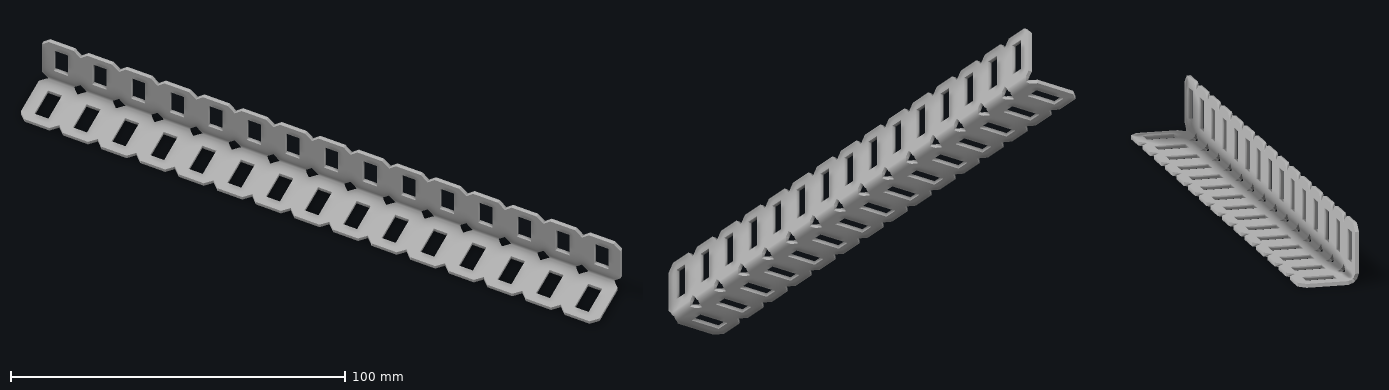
import cadquery as cq

cell_count = 15
cell_pitch = 12.7
length = cell_count * cell_pitch
leg_length = 18.49
thickness = 1.19
inner_radius = 0.8
outer_radius = inner_radius + thickness

slot_width = 4.62
slot_length = 9.75
slot_center = 10.45

edge_notch_depth = 2.25

relief_tip = 3.3
relief_tangent_half_width = relief_tip - outer_radius
relief_middle_half_width = 2.25
relief_clearance = inner_radius / 2

cell_centers = [(i - (cell_count - 1) / 2) * cell_pitch for i in range(cell_count)]
cell_borders = [(i - cell_count / 2) * cell_pitch for i in range(cell_count + 1)]


def angle_blank():
    """Plain bent angle, centred along X."""
    profile = (
        cq.Workplane("YZ", origin=(-length / 2, 0, 0))
        .moveTo(0, leg_length)
        .lineTo(0, outer_radius)
        .radiusArc((-outer_radius, 0), outer_radius)
        .lineTo(-leg_length, 0)
        .lineTo(-leg_length, thickness)
        .lineTo(-outer_radius, thickness)
        .radiusArc((-thickness, outer_radius), -inner_radius)
        .lineTo(-thickness, leg_length)
        .close()
    )
    return profile.extrude(length)


def slots():
    """Rectangular slots of the upright leg, one per cell."""
    return (
        cq.Workplane("XZ")
        .pushPoints([(x, slot_center) for x in cell_centers])
        .rect(slot_width, slot_length)
        .extrude(thickness)
    )


def v_notch(x, half_width, base_z, tip_z):
    """Triangular cutter through the upright leg."""
    outline = [(x - half_width, base_z), (x, tip_z), (x + half_width, base_z)]
    return cq.Workplane("XZ").polyline(outline).close().extrude(thickness)


def relief_section(x, half_width, inner_point, outer_point):
    """Rectangular wire spanning two (y, z) points, one on each side of the sheet."""
    corners = [(x - half_width, *inner_point), (x + half_width, *inner_point),
               (x + half_width, *outer_point), (x - half_width, *outer_point)]
    return cq.Wire.makePolygon([cq.Vector(*corner) for corner in corners], close=True)


def bend_relief(x):
    """Cutter for the upper half of the bend, widening from its tangent line to its middle."""
    inset = outer_radius - relief_clearance
    tangent_section = relief_section(
        x, relief_tangent_half_width, (-inset, outer_radius), (0, outer_radius))
    middle_section = relief_section(
        x, relief_middle_half_width, (-inset, inset), (0, 0))
    return cq.Solid.makeLoft([tangent_section, middle_section], ruled=True)


def cut_leg_features(body):
    """Cut the slots, edge notches and bend reliefs of the upright leg and its half of the bend."""
    cutters = slots().vals()
    for x in cell_borders:
        edge_notch = v_notch(x, edge_notch_depth, leg_length, leg_length - edge_notch_depth)
        leg_relief = v_notch(x, relief_tangent_half_width, outer_radius, relief_tip)
        cutters += [edge_notch.val(), leg_relief.val(), bend_relief(x)]
    return cq.Workplane(body.val().cut(*cutters))


def swap_legs(body):
    """Mirror about the plane bisecting the bend, which swaps the two legs."""
    return body.rotate((0, 0, 0), (1, 0, 0), 90).mirror("XY")


upright_leg_done = cut_leg_features(angle_blank())
result = cut_leg_features(swap_legs(upright_leg_done)).solids()